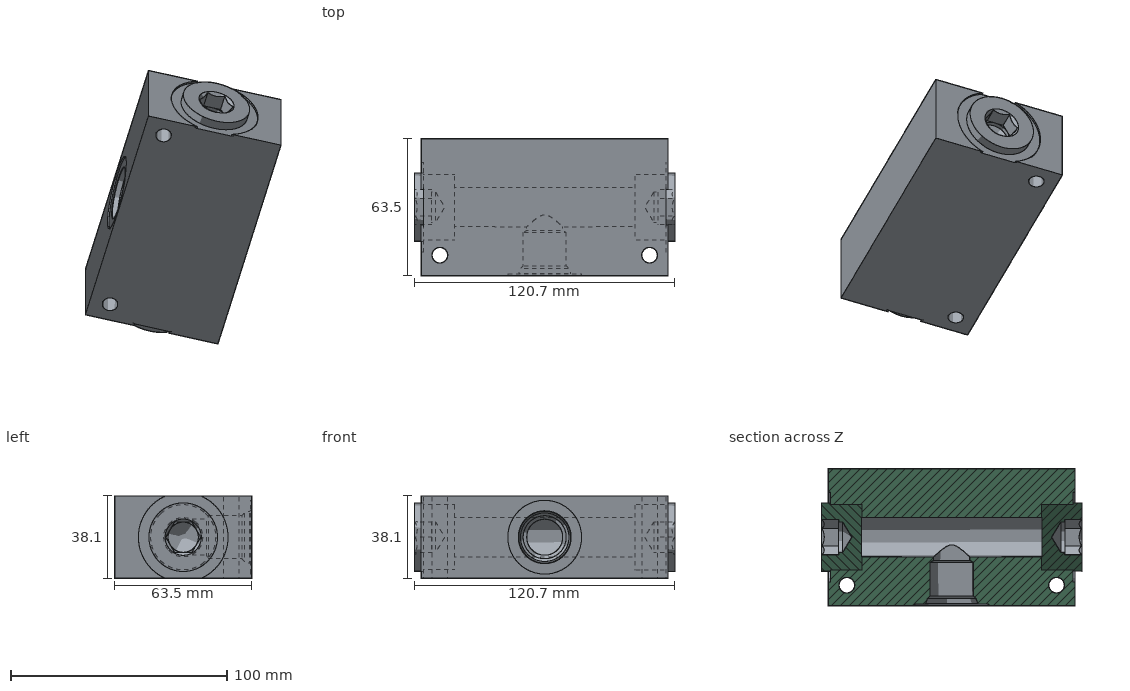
import cadquery as cq
import math

OVERALL_LENGTH = 120.7
BLOCK_LENGTH = 114.3
BLOCK_WIDTH = 63.5
BLOCK_HEIGHT = 38.1

MOUNT_HOLE_DIAMETER = 7.1
MOUNT_HOLE_SPACING = 97.0
MOUNT_HOLE_Y = -22.2

BORE_DIAMETER = 18.1

PORT_FACE_DIAMETER = 34.2
PORT_FACE_DEPTH = 0.7
PORT_LIP_DIAMETER = 24.5
PORT_MOUTH_DIAMETER = 24.0
PORT_SEAT_DIAMETER = 22.5
PORT_SEAT_DEPTH = 2.7
PORT_THREAD_DIAMETER = 19.9
PORT_THREAD_DEPTH = 19.3
PORT_PASSAGE_DIAMETER = 16.7
DRILL_HALF_ANGLE = math.radians(59)

PLUG_FACE_DIAMETER = 41.5
PLUG_FACE_DEPTH = 1.0
PLUG_HEAD_DIAMETER = 31.7
PLUG_SHANK_DIAMETER = 30.2
PLUG_SHANK_LENGTH = 14.5
SOCKET_FLATS = 14.0
SOCKET_DEPTH = 8.0
SOCKET_MOUTH_DIAMETER = 16.8
SOCKET_DRILL_DEPTH = 9.9

HALF_LENGTH = OVERALL_LENGTH / 2
PLUG_SEAT_X = BLOCK_LENGTH / 2 - PLUG_FACE_DEPTH
PLUG_HEAD_HEIGHT = HALF_LENGTH - PLUG_SEAT_X
SOCKET_CORNERS = SOCKET_FLATS / math.cos(math.pi / 6)


def axial_profile(points):
    """Solid of revolution about Z from (radius, height) points."""
    return cq.Workplane("XZ").polyline(points).close().revolve(360, (0, 0), (0, 1))


def turn_outward(shape, side):
    """Swing a shape built along +Z so that it points along +X (side 1) or -X (side -1)."""
    return shape.rotate((0, 0, 0), (0, 1, 0), side * 90)


def make_port_cavity():
    """Stepped port, entered from the -Y face and running inward to the internal bore.

    The lip and the step from seat to thread are 45 degree chamfers.
    """
    lip_radius = PORT_LIP_DIAMETER / 2
    mouth_radius = PORT_MOUTH_DIAMETER / 2
    thread_radius = PORT_THREAD_DIAMETER / 2
    seat_radius = PORT_SEAT_DIAMETER / 2
    passage_radius = PORT_PASSAGE_DIAMETER / 2
    mouth_height = BLOCK_WIDTH / 2 - PORT_FACE_DEPTH
    seat_height = mouth_height - PORT_SEAT_DEPTH
    thread_top = seat_height - (seat_radius - thread_radius)
    thread_end = mouth_height - PORT_THREAD_DEPTH
    passage_top = thread_end - (thread_radius - passage_radius) / math.tan(DRILL_HALF_ANGLE)
    cavity = axial_profile([
        (0, 0),
        (passage_radius, 0),
        (passage_radius, passage_top),
        (thread_radius, thread_end),
        (thread_radius, thread_top),
        (seat_radius, seat_height),
        (mouth_radius, mouth_height - (lip_radius - mouth_radius)),
        (lip_radius, mouth_height),
        (PORT_FACE_DIAMETER / 2, mouth_height),
        (PORT_FACE_DIAMETER / 2, BLOCK_WIDTH / 2),
        (0, BLOCK_WIDTH / 2),
    ])
    return cavity.rotate((0, 0, 0), (1, 0, 0), 90)


def make_plug_cavity(side):
    """Plug hole with the shallow round recess that the plug head sits on."""
    recess = (
        cq.Workplane("XY")
        .workplane(offset=PLUG_SEAT_X)
        .circle(PLUG_FACE_DIAMETER / 2)
        .extrude(PLUG_FACE_DEPTH)
    )
    hole = (
        cq.Workplane("XY")
        .workplane(offset=PLUG_SEAT_X - PLUG_SHANK_LENGTH)
        .circle(PLUG_SHANK_DIAMETER / 2)
        .extrude(PLUG_SHANK_LENGTH)
    )
    return turn_outward(recess.union(hole), side)


def make_housing():
    """Block with its mounting holes, internal bore, port and plug holes."""
    bore_length = 2 * (PLUG_SEAT_X - PLUG_SHANK_LENGTH)
    bore = cq.Workplane("YZ").circle(BORE_DIAMETER / 2).extrude(bore_length / 2, both=True)
    block = (
        cq.Workplane("XY")
        .box(BLOCK_LENGTH, BLOCK_WIDTH, BLOCK_HEIGHT)
        .faces(">Z")
        .workplane()
        .pushPoints([(side * MOUNT_HOLE_SPACING / 2, MOUNT_HOLE_Y) for side in (-1, 1)])
        .hole(MOUNT_HOLE_DIAMETER)
        .cut(bore)
        .cut(make_port_cavity())
    )
    for side in (-1, 1):
        block = block.cut(make_plug_cavity(side))
    return block


def make_socket():
    """Hexagon socket with a 90 degree countersunk mouth and a cone-ended drill hole below its floor."""
    floor = HALF_LENGTH - SOCKET_DEPTH
    drill_end = HALF_LENGTH - SOCKET_DRILL_DEPTH
    drill_radius = SOCKET_FLATS / 2
    mouth_radius = SOCKET_MOUTH_DIAMETER / 2
    hexagon = (
        cq.Workplane("XY")
        .workplane(offset=floor)
        .polygon(6, SOCKET_CORNERS)
        .extrude(SOCKET_DEPTH)
    )
    hexagon = hexagon.rotate((0, 0, 0), (0, 0, 1), 90)
    drill_hole = axial_profile([
        (0, drill_end - drill_radius / math.tan(DRILL_HALF_ANGLE)),
        (drill_radius, drill_end),
        (drill_radius, floor),
        (0, floor),
    ])
    countersink = axial_profile([
        (0, HALF_LENGTH - mouth_radius),
        (mouth_radius, HALF_LENGTH),
        (0, HALF_LENGTH),
    ])
    return hexagon.union(drill_hole).union(countersink)


def make_plug(side):
    """Round-headed plug with a plain shank and a hexagon socket."""
    shank_end = PLUG_SEAT_X - PLUG_SHANK_LENGTH
    plug = (
        cq.Workplane("XY")
        .workplane(offset=shank_end)
        .circle(PLUG_SHANK_DIAMETER / 2)
        .extrude(PLUG_SHANK_LENGTH)
        .faces(">Z")
        .workplane()
        .circle(PLUG_HEAD_DIAMETER / 2)
        .extrude(PLUG_HEAD_HEIGHT)
        .cut(make_socket())
    )
    return turn_outward(plug, side)


housing = make_housing()
plugs = [make_plug(side) for side in (-1, 1)]
result = cq.Compound.makeCompound([housing.val(), *[plug.val() for plug in plugs]])